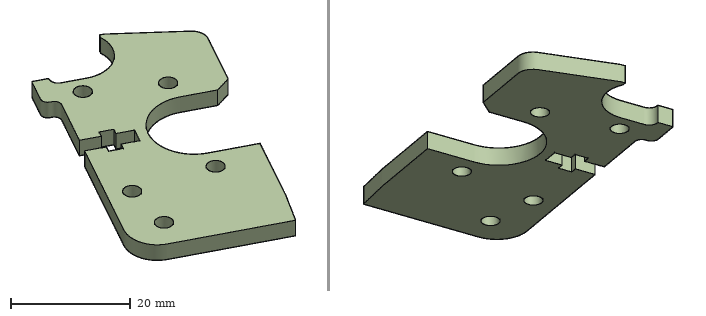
import cadquery as cq
import math

length = 58.15
width = 31.7
thickness = 3.3
base_y = 2.95

slant_corner_x = 3.95
tip_y = 14.55
tip_height = 0.9
slant_corner_radius = 2.9
bay_radius = 6.4
bay_center_x = 4.3
bay_center_y = 9.2
bay_wall_x = bay_center_x + bay_radius
bay_foot_radius = 1.6

tab_left_x = 8.95
tab_right_x = 15.25
tab_radius = 1.3
small_corner_radius = 0.2

slot_center_x = 28.2
opening_radius = 8.0
opening_bottom_y = 14.55
opening_center_y = opening_bottom_y + opening_radius
opening_left_x = slot_center_x - opening_radius
opening_right_x = slot_center_x + opening_radius
chamfer_x = 2.4
chamfer_y = 2.55

slot_width = 3.0
slot_top_y = 12.6
cross_width = 5.45
cross_bottom_y = 6.8
cross_top_y = 9.35

taper_start_x = 51.2
taper_drop = 0.4
right_corner_radius = 5.9

hole_diameter = 3.2
hole_centers = [(14.1, 7.4), (15.95, 21.75), (40.15, 22.75), (42.65, 7.4), (52.35, 10.0)]


def plate_blank():
    """Plate outline with sharp convex corners, the bay and the U opening."""
    bay_tip_x = bay_center_x - math.sqrt(bay_radius**2 - (tip_y - bay_center_y) ** 2)
    return (
        cq.Workplane("XY")
        .moveTo(0, tip_y)
        .lineTo(0, tip_y + tip_height)
        .lineTo(slant_corner_x, width)
        .lineTo(opening_left_x - chamfer_x, width)
        .lineTo(opening_left_x, width - chamfer_y)
        .lineTo(opening_left_x, opening_center_y)
        .threePointArc((slot_center_x, opening_bottom_y), (opening_right_x, opening_center_y))
        .lineTo(opening_right_x, width)
        .lineTo(taper_start_x, width)
        .lineTo(length, width - taper_drop)
        .lineTo(length, base_y)
        .lineTo(tab_right_x, base_y)
        .lineTo(tab_right_x, 0)
        .lineTo(tab_left_x, 0)
        .lineTo(tab_left_x, base_y)
        .lineTo(bay_wall_x, base_y)
        .lineTo(bay_wall_x, bay_center_y)
        .threePointArc((bay_center_x, bay_center_y + bay_radius), (bay_tip_x, tip_y))
        .close()
        .extrude(thickness)
    )


def round_corner(plate, x, y, radius):
    """Fillet the upright edge at (x, y)."""
    edge = cq.selectors.NearestToPointSelector((x, y, thickness / 2))
    return plate.edges("|Z").edges(edge).fillet(radius)


def slot_box(box_width, bottom_y, top_y):
    """Upright block centred on the slot line."""
    height = top_y - bottom_y
    return (
        cq.Workplane("XY")
        .center(slot_center_x, bottom_y + height / 2)
        .rect(box_width, height)
        .extrude(thickness)
    )


rounded_corners = [
    (slant_corner_x, width, slant_corner_radius),
    (length, base_y, right_corner_radius),
    (length, width - taper_drop, small_corner_radius),
    (tab_right_x, base_y, tab_radius),
    (tab_right_x, 0, tab_radius),
    (tab_left_x, 0, small_corner_radius),
    (bay_wall_x, base_y, bay_foot_radius),
]

result = plate_blank()
for corner_x, corner_y, corner_radius in rounded_corners:
    result = round_corner(result, corner_x, corner_y, corner_radius)

result = result.cut(slot_box(slot_width, base_y, slot_top_y))
result = result.cut(slot_box(cross_width, cross_bottom_y, cross_top_y))

holes = cq.Workplane("XY").pushPoints(hole_centers).circle(hole_diameter / 2).extrude(thickness)
result = result.cut(holes)